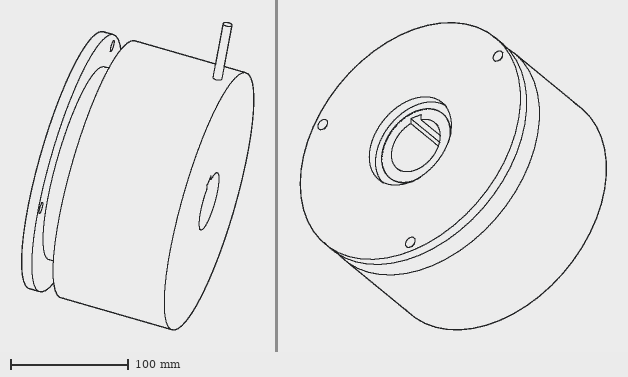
import cadquery as cq
import math

body_diameter = 228.5
body_length = 129.4
flange_thickness = 9.4
housing_start = 28.5
waist_diameter = 171.5

recess_diameter = 85.2
recess_depth = 9.4
hub_diameter = 71.2
hub_rise = 1.0
bore_diameter = 50.7
keyway_width = 10.5
keyway_top = 30.0

hole_count = 3
hole_diameter = 10.0
hole_circle_radius = 105.0

lever_diameter = 7.8
lever_x = 116.6
lever_angle = 30.0
overall_height = 259.8
lever_top = overall_height - body_diameter / 2
lean = math.radians(lever_angle)
lever_reach = (lever_top - lever_diameter / 2 * math.sin(lean)) / math.cos(lean)
lever_embed = 10.5
lever_root = body_diameter / 2 - lever_embed


def cylinder(diameter, start, end):
    """Cylinder on the X axis between two X positions."""
    return cq.Workplane("YZ", origin=(start, 0, 0)).circle(diameter / 2).extrude(end - start)


def make_body():
    flange = cylinder(body_diameter, 0, flange_thickness)
    waist = cylinder(waist_diameter, flange_thickness, housing_start)
    housing = cylinder(body_diameter, housing_start, body_length)
    return flange.union(waist).union(housing)


def make_hub_opening():
    """Recess with a slightly raised hub face, and a keyed bore right through."""
    recess = cylinder(recess_diameter, 0, recess_depth)
    hub_face = cylinder(hub_diameter, recess_depth - hub_rise, recess_depth)
    bore = cylinder(bore_diameter, 0, body_length)
    keyway = cq.Workplane("XY").box(
        body_length, keyway_width, keyway_top, centered=(False, True, False)
    )
    return recess.cut(hub_face).union(bore).union(keyway)


def make_flange_holes():
    """Evenly spaced holes through the flange, one at the bottom."""
    return (
        cq.Workplane("YZ")
        .polarArray(hole_circle_radius, -90, 360, hole_count)
        .circle(hole_diameter / 2)
        .extrude(flange_thickness)
    )


def make_lever():
    direction = cq.Vector(0, math.sin(lean), math.cos(lean))
    root = cq.Vector(lever_x, 0, 0) + direction * lever_root
    rod = cq.Solid.makeCylinder(lever_diameter / 2, lever_reach - lever_root, root, direction)
    return cq.Workplane(obj=rod)


result = make_body().cut(make_hub_opening()).cut(make_flange_holes()).union(make_lever())